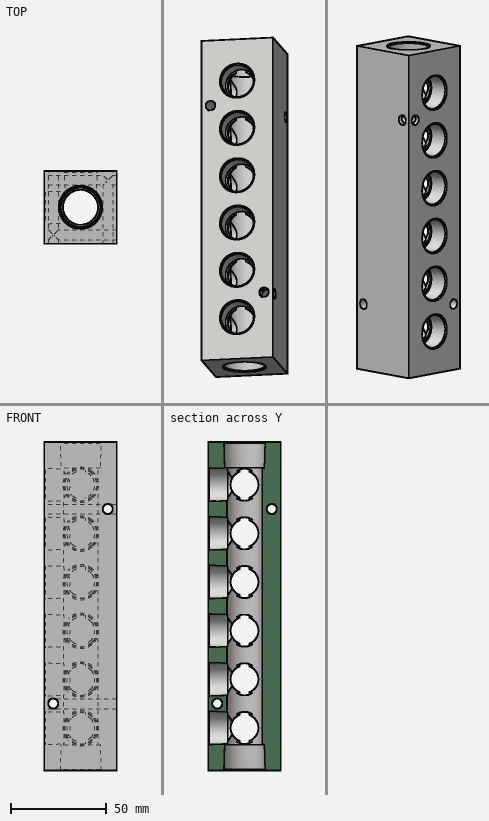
import cadquery as cq

LENGTH = 171.5
WIDTH = 38.0

THREAD_TAPER = 1 / 16

BORE_DIAMETER = 18.2
END_PORT_DIAMETER = 21.3
END_PORT_DEPTH = 13.5
END_MOUTH_DIAMETER = 22.6

OUTLET_COUNT = 6
OUTLET_PITCH = 25.4
OUTLET_DIAMETER = 17.1
OUTLET_DEPTH = 10.3
OUTLET_MOUTH_DIAMETER = 18.5
OUTLET_DRILL_DIAMETER = 14.4

MOUNT_DIAMETER = 5.1
MOUNT_OFFSET = 14.2
MOUNT_HEIGHT = 2 * OUTLET_PITCH


def tapered_port(diameter, mouth_diameter, depth, drill_diameter, drill_depth):
    """Cutter along -Z from the origin: chamfered mouth, tapered thread wall, then a plain drilled hole."""
    chamfer = (mouth_diameter - diameter) / 2
    end_diameter = diameter - (depth - chamfer) * THREAD_TAPER
    profile = [
        (0, 0),
        (mouth_diameter / 2, 0),
        (diameter / 2, -chamfer),
        (end_diameter / 2, -depth),
        (drill_diameter / 2, -depth),
        (drill_diameter / 2, -drill_depth),
        (0, -drill_depth),
    ]
    return cq.Workplane("XZ").polyline(profile).close().revolve(360, (0, 0), (0, 1))


def cut_main_bore(body):
    top_half = tapered_port(
        END_PORT_DIAMETER, END_MOUTH_DIAMETER, END_PORT_DEPTH, BORE_DIAMETER, LENGTH / 2
    ).translate((0, 0, LENGTH / 2))
    bore = top_half.union(top_half.mirror("XY")).clean()
    return body.cut(bore)


def cut_outlets(body):
    outlet = tapered_port(
        OUTLET_DIAMETER, OUTLET_MOUTH_DIAMETER, OUTLET_DEPTH, OUTLET_DRILL_DIAMETER, WIDTH / 2
    )
    left_outlet = outlet.rotate((0, 0, 0), (0, 1, 0), -90).translate((-WIDTH / 2, 0, 0))
    back_outlet = left_outlet.rotate((0, 0, 0), (0, 0, 1), -90)
    for index in range(OUTLET_COUNT):
        height = (index - (OUTLET_COUNT - 1) / 2) * OUTLET_PITCH
        body = body.cut(left_outlet.translate((0, 0, height)))
        body = body.cut(back_outlet.translate((0, 0, height)))
    return body


def cut_mounting_holes(body):
    along_z = cq.Workplane("XY").circle(MOUNT_DIAMETER / 2).extrude(WIDTH / 2, both=True)
    along_x = along_z.rotate((0, 0, 0), (0, 1, 0), 90)
    along_y = along_z.rotate((0, 0, 0), (1, 0, 0), 90)
    for side in (-1, 1):
        offset = side * MOUNT_OFFSET
        height = side * MOUNT_HEIGHT
        body = body.cut(along_x.translate((0, offset, height)))
        body = body.cut(along_y.translate((offset, 0, height)))
    return body


block = cq.Workplane("XY").box(WIDTH, WIDTH, LENGTH)
result = cut_mounting_holes(cut_outlets(cut_main_bore(block)))